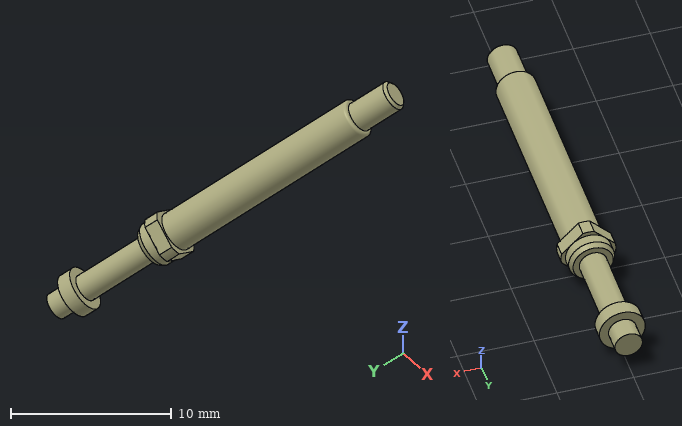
import cadquery as cq

TOTAL_LENGTH = 27.8

TIP_LENGTH = 3.0
BODY_LENGTH = 15.0
NUT_WIDTH = 1.0
COLLAR_WIDTH = 1.0
FLANGE_WIDTH = 1.0
TAIL_LENGTH = 1.4

TIP_DIAMETER = 2.0
BODY_DIAMETER = 2.65
NUT_DIAMETER = 3.6
COLLAR_DIAMETER = 3.0
STEM_DIAMETER = 1.8
FLANGE_DIAMETER = COLLAR_DIAMETER

NUT_ACROSS_FLATS = COLLAR_DIAMETER

TIP_BEVEL_LENGTH = 0.2
TIP_BEVEL_DEPTH = 0.2
COLLAR_BEVEL_LENGTH = 0.33
COLLAR_BEVEL_DEPTH = 0.2

BODY_RIM_RADIUS = 0.2

TIP_END = -TOTAL_LENGTH / 2
BODY_START = TIP_END + TIP_LENGTH
NUT_START = BODY_START + BODY_LENGTH
COLLAR_START = NUT_START + NUT_WIDTH
STEM_START = COLLAR_START + COLLAR_WIDTH
TAIL_END = TOTAL_LENGTH / 2
FLANGE_START = TAIL_END - TAIL_LENGTH - FLANGE_WIDTH


def cylinder(diameter, start, length):
    """Round bar along +Y beginning at y = start."""
    plane = cq.Workplane("XZ", origin=(0, start, 0))
    return plane.circle(diameter / 2).extrude(-length)


def make_nut():
    """Square nut whose corners are rounded by a turned cylinder."""
    square = (
        cq.Workplane("XZ", origin=(0, NUT_START, 0))
        .rect(NUT_ACROSS_FLATS, NUT_ACROSS_FLATS)
        .extrude(-NUT_WIDTH)
        .rotate((0, 0, 0), (0, 1, 0), 45)
    )
    return square.intersect(cylinder(NUT_DIAMETER, NUT_START, NUT_WIDTH))


def make_turned_profile():
    """Revolve every round section about the Y axis."""
    tip_radius = TIP_DIAMETER / 2
    body_radius = BODY_DIAMETER / 2
    collar_radius = COLLAR_DIAMETER / 2
    stem_radius = STEM_DIAMETER / 2
    flange_radius = FLANGE_DIAMETER / 2
    half_section = (
        cq.Workplane("XY")
        .moveTo(0, TIP_END)
        .lineTo(tip_radius - TIP_BEVEL_DEPTH, TIP_END)
        .lineTo(tip_radius, TIP_END + TIP_BEVEL_LENGTH)
        .lineTo(tip_radius, BODY_START)
        .lineTo(body_radius - BODY_RIM_RADIUS, BODY_START)
        .radiusArc((body_radius, BODY_START + BODY_RIM_RADIUS), -BODY_RIM_RADIUS)
        .lineTo(body_radius, COLLAR_START)
        .lineTo(collar_radius, COLLAR_START)
        .lineTo(collar_radius, STEM_START - COLLAR_BEVEL_LENGTH)
        .lineTo(collar_radius - COLLAR_BEVEL_DEPTH, STEM_START)
        .lineTo(stem_radius, STEM_START)
        .lineTo(stem_radius, FLANGE_START)
        .lineTo(flange_radius, FLANGE_START)
        .lineTo(flange_radius, FLANGE_START + FLANGE_WIDTH)
        .lineTo(stem_radius, FLANGE_START + FLANGE_WIDTH)
        .lineTo(stem_radius, TAIL_END)
        .lineTo(0, TAIL_END)
        .close()
    )
    return half_section.revolve(360, (0, 0, 0), (0, 1, 0))


result = make_turned_profile().union(make_nut())